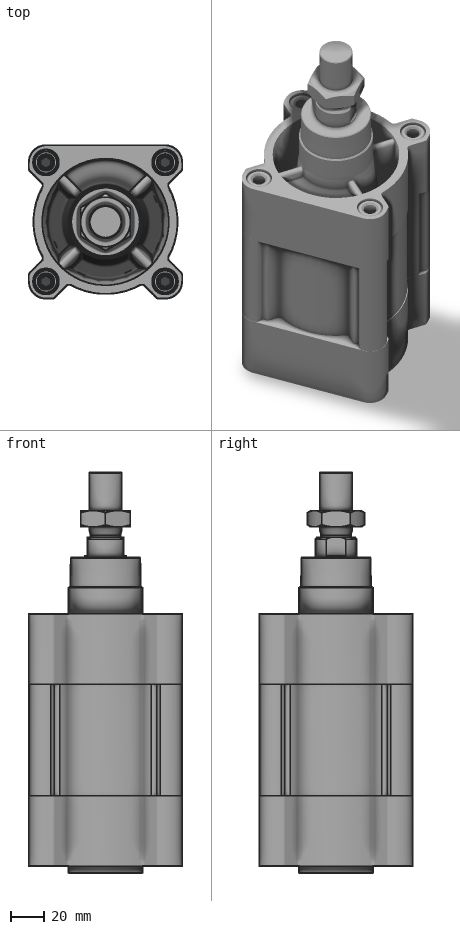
import cadquery as cq
import math


TOTAL_LENGTH = 242.5
SPIGOT_HEIGHT = 4.4
BARREL_BOTTOM = 47.0
BARREL_TOP = 114.5
FRONT_CAP_TOP = 157.0
COLLAR_TOP = 173.5
NOSE_TOP = 191.2
ROD_SHOULDER = 203.3
NUT_BOTTOM = 209.5
NUT_HEIGHT = 10.0

WIDTH = 93.0
SCREW_SPACING = 72.0
SCREW_OFFSET = SCREW_SPACING / 2
CORNER_RADIUS = WIDTH / 2 - SCREW_OFFSET
BARREL_INSET = 0.12
BARREL_LOBE_RADIUS = CORNER_RADIUS - BARREL_INSET
CAP_RADIUS = 43.7
BARREL_RADIUS = 43.2
LOBE_HALF_WIDTH = 10.7
LOBE_EDGE_RADIUS = 2.0
LOBE_ROOT_RADIUS = 2.2

NOTCH_START = 27.7
NOTCH_END = 31.0
NOTCH_MOUTH = 33.2
NOTCH_FLOOR = 42.7

RECESS_RADIUS = 38.3
COLLAR_DIAMETER = 45.0
DRAFT = math.radians(6.5)
DEEP_RECESS = 34.0
SHALLOW_RECESS = 7.8
RECESS_FILLET = 1.5
RIB_DROP = 2.0
RIB_HALF_WIDTH = 2.3
RIB_EDGE_RADIUS = 2.2

SEAT_DIAMETER = 15.8
SEAT_DEPTH = 2.2
HEAD_DIAMETER = 15.0
HEAD_DROP = 0.7
HEAD_CHAMFER = 1.0
COUNTERSINK_DIAMETER = 10.2
COUNTERSINK_FOOT_DIAMETER = 8.5
COUNTERSINK_DEPTH = 1.0
SCREW_BORE_DIAMETER = 8.0
SCREW_BORE_DEPTH = 12.1
SOCKET_ACROSS_FLATS = 6.0
SOCKET_DEPTH = 4.9

COLLAR_CHAMFER = 0.7
NOSE_FOOT_DIAMETER = 43.0
NOSE_TOP_DIAMETER = 42.2
EDGE_CHAMFER = 0.5

ROD_DIAMETER = 25.0
ROD_BOTTOM = BARREL_TOP
ROD_ACROSS_FLATS = 22.0
FLAT_BOTTOM = 192.1
SHOULDER_CHAMFER = 1.0
THREAD_DIAMETER = 20.0
THREAD_BOTTOM = 208.2
UNDERCUT_DIAMETER = 18.0
NECK_DIAMETER = 18.5
NECK_TOP = 204.8

NUT_ACROSS_FLATS = 30.0
NUT_CHAMFER_ANGLE = math.radians(30)

QUARTERS = range(4)
CORNERS = [(SCREW_OFFSET * sx, SCREW_OFFSET * sy) for sx in (-1, 1) for sy in (-1, 1)]


def cylinder(diameter, bottom, top):
    return cq.Workplane("XY").workplane(offset=bottom).circle(diameter / 2).extrude(top - bottom)


def hexagon(across_flats, bottom, height):
    """Hexagonal prism with two corners on the Y axis."""
    prism = cq.Workplane("XY").polygon(6, across_flats / math.cos(math.pi / 6)).extrude(height)
    return prism.rotate((0, 0, 0), (0, 0, 1), 30).translate((0, 0, bottom))


def turned(points):
    """Solid turned about Z from (radius, height) points."""
    return cq.Workplane("XZ").polyline(points).close().revolve(360, (0, 0), (0, 1))


def turn_quarter(shape, quarter):
    return shape.rotate((0, 0, 0), (0, 0, 1), 90 * quarter)


def round_lobe_roots(body, radius):
    """Round the inner corners where the lobe sides leave the round body."""
    roots = body.edges("|Z").filter(
        lambda edge: abs(math.hypot(edge.Center().x, edge.Center().y) - radius) < 0.02
    )
    return roots.fillet(LOBE_ROOT_RADIUS)


def cap_lobe(height):
    """Straight-sided lobe towards the +X +Y corner, on Z = 0."""
    reach = WIDTH
    strip = cq.Workplane("XY").rect(reach, 2 * LOBE_HALF_WIDTH).extrude(height)
    strip = strip.translate((reach / 2, 0, 0)).rotate((0, 0, 0), (0, 0, 1), 45)
    square = cq.Workplane("XY").rect(WIDTH, WIDTH).extrude(height)
    lobe = strip.intersect(square.edges("|Z").fillet(CORNER_RADIUS))
    edge_place = WIDTH / 2 - LOBE_HALF_WIDTH * math.sqrt(2)
    for x, y in ((WIDTH / 2, edge_place), (edge_place, WIDTH / 2)):
        lobe = lobe.edges(cq.selectors.NearestToPointSelector((x, y, height / 2)))
        lobe = lobe.fillet(LOBE_EDGE_RADIUS)
    return lobe


def cap(bottom, top):
    """Round cap with four corner lobes, filled to a flat side at +Y."""
    height = top - bottom
    body = cq.Workplane("XY").circle(CAP_RADIUS).extrude(height)
    lobe = cap_lobe(height)
    for quarter in QUARTERS:
        body = body.union(turn_quarter(lobe, quarter))
    flat_side = cq.Workplane("XY").rect(SCREW_SPACING, CORNER_RADIUS).extrude(height)
    body = body.union(flat_side.translate((0, SCREW_OFFSET + CORNER_RADIUS / 2, 0)))
    return round_lobe_roots(body, CAP_RADIUS).translate((0, 0, bottom))


def barrel_lobe(height):
    """Notched lobe towards the +X +Y corner, on Z = 0."""
    side = NOTCH_START - NOTCH_FLOOR
    arc_rise = math.sqrt(BARREL_LOBE_RADIUS**2 - (SCREW_OFFSET - NOTCH_MOUTH) ** 2)
    mouth = SCREW_OFFSET + arc_rise
    tip = SCREW_OFFSET + BARREL_LOBE_RADIUS / math.sqrt(2)
    half = [(-side, 0), (NOTCH_FLOOR, NOTCH_START), (NOTCH_FLOOR, NOTCH_END), (mouth, NOTCH_MOUTH)]
    outline = cq.Workplane("XY").polyline(half).threePointArc((tip, tip), (NOTCH_MOUTH, mouth))
    for x, y in half[-2::-1]:
        outline = outline.lineTo(y, x)
    return outline.close().extrude(height)


def barrel():
    height = BARREL_TOP - BARREL_BOTTOM
    body = cq.Workplane("XY").circle(BARREL_RADIUS).extrude(height)
    lobe = barrel_lobe(height)
    for quarter in QUARTERS:
        body = body.union(turn_quarter(lobe, quarter))
    return round_lobe_roots(body, BARREL_RADIUS).translate((0, 0, BARREL_BOTTOM))


def recess_ring(depth):
    """Drafted ring-shaped recess around the collar, rounded at its floor."""
    floor = FRONT_CAP_TOP - depth
    slope = depth * math.tan(DRAFT)
    ring = turned([
        (COLLAR_DIAMETER / 2, FRONT_CAP_TOP),
        (RECESS_RADIUS, FRONT_CAP_TOP),
        (RECESS_RADIUS - slope, floor),
        (COLLAR_DIAMETER / 2 + slope, floor),
    ])
    return ring.faces("<Z").edges().fillet(RECESS_FILLET)


def plus_y_quarter():
    """Wedge that spans the quarter between the two +Y diagonals."""
    corners = [(0, 0), (WIDTH, WIDTH), (-WIDTH, WIDTH)]
    return cq.Workplane("XY").polyline(corners).close().extrude(TOTAL_LENGTH)


def ribs():
    """Four drafted ribs on the diagonals, with rounded crests."""
    crest = FRONT_CAP_TOP - RIB_DROP
    shoulder = crest - RIB_EDGE_RADIUS
    floor = FRONT_CAP_TOP - DEEP_RECESS - RECESS_FILLET
    foot = RIB_HALF_WIDTH + (shoulder - floor) * math.tan(DRAFT)
    flat = RIB_HALF_WIDTH - RIB_EDGE_RADIUS
    arc_side = flat + RIB_EDGE_RADIUS / math.sqrt(2)
    arc_height = shoulder + RIB_EDGE_RADIUS / math.sqrt(2)
    rib = (
        cq.Workplane("YZ").moveTo(-foot, floor).lineTo(-RIB_HALF_WIDTH, shoulder)
        .threePointArc((-arc_side, arc_height), (-flat, crest)).lineTo(flat, crest)
        .threePointArc((arc_side, arc_height), (RIB_HALF_WIDTH, shoulder)).lineTo(foot, floor)
        .close().extrude(WIDTH / 2, both=True)
    )
    rib = rib.rotate((0, 0, 0), (0, 0, 1), 45)
    return rib.union(turn_quarter(rib, 1))


def cut_recess(body):
    """Cut a shallow ring, then deepen all but its +Y quarter; the ribs stay standing."""
    rib_cross = ribs()
    shallow = recess_ring(SHALLOW_RECESS).cut(rib_cross)
    deep = recess_ring(DEEP_RECESS).cut(plus_y_quarter().union(rib_cross))
    return body.cut(shallow).cut(deep)


def screw_recess():
    """Gap round the head, bore and hexagon socket of one corner screw, on the Z axis."""
    seat_floor = FRONT_CAP_TOP - SEAT_DEPTH
    head_face = FRONT_CAP_TOP - HEAD_DROP
    countersink_foot = head_face - COUNTERSINK_DEPTH
    bore_floor = FRONT_CAP_TOP - SCREW_BORE_DEPTH
    hollow = turned([
        (0, FRONT_CAP_TOP),
        (SEAT_DIAMETER / 2, FRONT_CAP_TOP),
        (SEAT_DIAMETER / 2, seat_floor),
        (HEAD_DIAMETER / 2, seat_floor),
        (HEAD_DIAMETER / 2, head_face - HEAD_CHAMFER),
        (HEAD_DIAMETER / 2 - HEAD_CHAMFER, head_face),
        (COUNTERSINK_DIAMETER / 2, head_face),
        (COUNTERSINK_FOOT_DIAMETER / 2, countersink_foot),
        (SCREW_BORE_DIAMETER / 2, countersink_foot),
        (SCREW_BORE_DIAMETER / 2, bore_floor),
        (0, bore_floor),
    ])
    return hollow.union(hexagon(SOCKET_ACROSS_FLATS, bore_floor - SOCKET_DEPTH, SOCKET_DEPTH))


def front_cap():
    body = cut_recess(cap(BARREL_TOP, FRONT_CAP_TOP))
    for x, y in CORNERS:
        body = body.cut(screw_recess().translate((x, y, 0)))
    return body


def collar():
    body = cylinder(COLLAR_DIAMETER, FRONT_CAP_TOP, COLLAR_TOP)
    return body.faces(">Z").edges().chamfer(COLLAR_CHAMFER)


def nose():
    """Slightly tapered nose that guides the rod."""
    body = turned([
        (0, COLLAR_TOP),
        (NOSE_FOOT_DIAMETER / 2, COLLAR_TOP),
        (NOSE_TOP_DIAMETER / 2, NOSE_TOP),
        (0, NOSE_TOP),
    ])
    return body.faces(">Z").edges().chamfer(EDGE_CHAMFER)


def spigot():
    return cylinder(COLLAR_DIAMETER, 0, SPIGOT_HEIGHT).faces("<Z").edges().chamfer(EDGE_CHAMFER)


def make_housing():
    body = spigot().union(cap(SPIGOT_HEIGHT, BARREL_BOTTOM)).union(barrel())
    body = body.union(front_cap()).union(collar()).union(nose())
    return body.cut(cylinder(ROD_DIAMETER, ROD_BOTTOM, NOSE_TOP))


def make_rod():
    rod_radius = ROD_DIAMETER / 2
    thread_radius = THREAD_DIAMETER / 2
    body = turned([
        (0, ROD_BOTTOM),
        (rod_radius, ROD_BOTTOM),
        (rod_radius, ROD_SHOULDER - SHOULDER_CHAMFER),
        (rod_radius - SHOULDER_CHAMFER, ROD_SHOULDER),
        (NECK_DIAMETER / 2, ROD_SHOULDER),
        (NECK_DIAMETER / 2, NECK_TOP),
        (UNDERCUT_DIAMETER / 2, NECK_TOP),
        (thread_radius, THREAD_BOTTOM),
        (thread_radius, TOTAL_LENGTH - EDGE_CHAMFER),
        (thread_radius - EDGE_CHAMFER, TOTAL_LENGTH),
        (0, TOTAL_LENGTH),
    ])
    flat_height = ROD_SHOULDER - FLAT_BOTTOM
    cutter = cq.Workplane("XY").rect(ROD_DIAMETER, ROD_DIAMETER).extrude(flat_height)
    cutter_offset = (ROD_ACROSS_FLATS + ROD_DIAMETER) / 2
    for side in (-1, 1):
        body = body.cut(cutter.translate((side * cutter_offset, 0, FLAT_BOTTOM)))
    return body


def make_nut():
    """Hexagon nut with corners chamfered at both ends."""
    nut_top = NUT_BOTTOM + NUT_HEIGHT
    face_radius = NUT_ACROSS_FLATS / 2
    corner_radius = face_radius / math.cos(math.pi / 6)
    bevel = (corner_radius - face_radius) * math.tan(NUT_CHAMFER_ANGLE)
    envelope = turned([
        (0, NUT_BOTTOM),
        (face_radius, NUT_BOTTOM),
        (corner_radius, NUT_BOTTOM + bevel),
        (corner_radius, nut_top - bevel),
        (face_radius, nut_top),
        (0, nut_top),
    ])
    body = hexagon(NUT_ACROSS_FLATS, NUT_BOTTOM, NUT_HEIGHT).intersect(envelope)
    return body.cut(cylinder(THREAD_DIAMETER, NUT_BOTTOM, nut_top))


housing = make_housing()
rod = make_rod()
nut = make_nut()

result = cq.Compound.makeCompound([housing.val(), rod.val(), nut.val()])